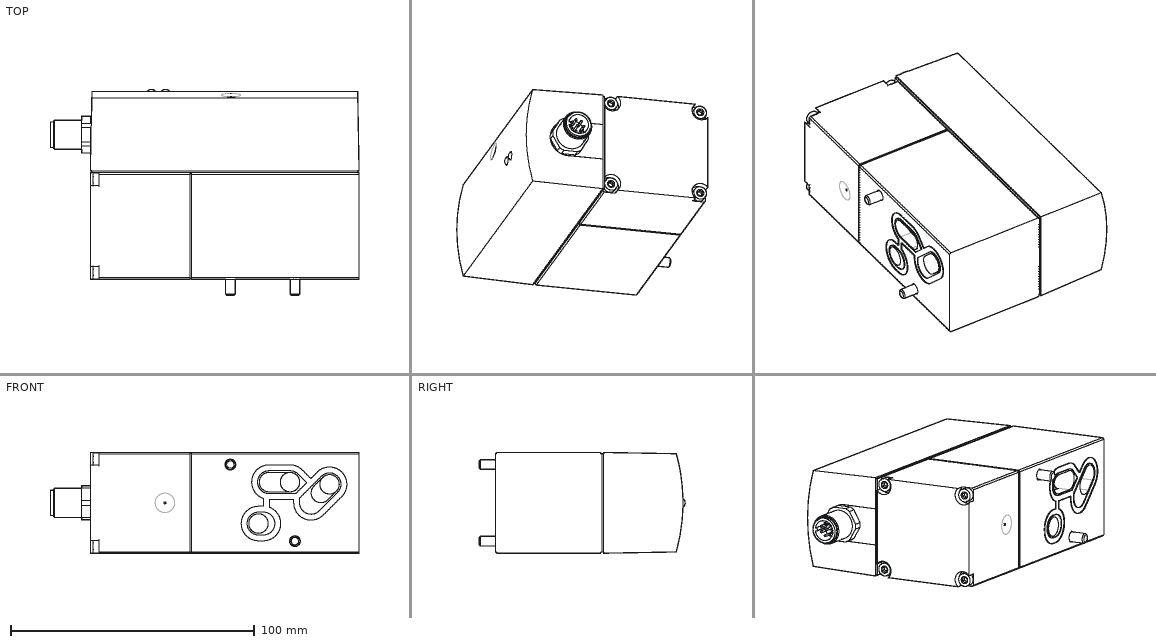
import cadquery as cq
import math


length = 110.4
width = 41.5
half_width = width / 2
base_height = 43.8
edge_chamfer = 0.6
split_x = 41.2
split_groove_width = 0.5
split_groove_depth = 0.4

spacer_height = 0.8
spacer_inset = 0.5
cover_bottom = base_height + spacer_height

crown_height = 77.2
crown_sagitta = 2.9
cover_draft_angle = 1.0
pip_diameter = 3.5
pip_height = 0.9
pip_positions = (25.0, 30.8)

dimple_diameter = 8.0
dimple_depth = 0.9
dimple_x = 30.6
dimple_hole_diameter = 0.8
dimple_hole_depth = 2.5
cover_dimple_x = 57.7
cover_dimple_z = 14.7

screw_inset = 2.9
screw_recess_diameter = 7.5
screw_recess_depth = 3.5
screw_head_diameter = 5.5
screw_head_top = 1.1
screw_socket_across = 2.0
screw_socket_depth = 1.9
screw_socket_rim_diameter = 3.0
screw_socket_rim_depth = 0.4

connector_y = 59.4
connector_length = 16.5
pad_radius = 7.6
pad_depth = 2.5
nut_length = 3.7
nut_across_flats = 14.1
nut_corner_diameter = 15.2
nut_turn = 30.0
barrel_diameter = 12.0
barrel_chamfer = 0.4
nose_diameter = 10.5
nose_length = 1.4
socket_diameter = 8.2
socket_depth = 7.6
contact_diameter = 0.8
contact_length = 5.7
contact_ring_radius = 2.7
ring_contact_count = 7
key_diameter = 1.4
key_radius = 3.8

port_diameter = 8.0
port_radius = port_diameter / 2
gasket_inner_radius = 4.7
gasket_width = 2.4
gasket_outer_radius = gasket_inner_radius + gasket_width
gasket_recess = 0.4
upper_slot_start = (73.3, 8.5)
upper_slot_end = (82.0, 8.5)
lower_slot_start = (69.0, -8.5)
lower_slot_end = (71.1, -8.5)
slant_start = (90.6, 0.0)
slant_end = (98.2, 7.6)
slant_pocket_start = (94.7, 4.0)
bridge_left = 71.2
upper_pocket_depth = 5.1
slant_pocket_depth = 10.2
port_depth = 25.4

pin_diameter = 4.0
pin_length = 6.6
pin_chamfer = 0.5
pin_clearance_diameter = 4.5
pin_clearance_depth = 0.6
pin_centres = ((57.5, 15.7), (84.0, -15.7))


def front_prism(points, depth):
    """Prism over an X-Z outline, sunk into the port face by depth."""
    return cq.Workplane("XZ").polyline(points).close().extrude(-depth)


def front_cylinder(centre, diameter, depth):
    """Cylinder sunk into the port face; a negative depth makes it stand out."""
    return cq.Workplane("XZ").center(*centre).circle(diameter / 2).extrude(-depth)


def front_slot(start, end, radius, depth):
    """Round-ended slot between two X-Z centres, sunk into the port face."""
    run_x = end[0] - start[0]
    run_z = end[1] - start[1]
    middle = ((start[0] + end[0]) / 2, (start[1] + end[1]) / 2)
    overall = math.hypot(run_x, run_z) + 2 * radius
    angle = math.degrees(math.atan2(run_z, run_x))
    return cq.Workplane("XZ").center(*middle).slot2D(overall, 2 * radius, angle).extrude(-depth)


def end_cylinder(y, z, diameter, start_x, end_x):
    """Cylinder along X from start_x to end_x."""
    plane = cq.Workplane("YZ", origin=(start_x, y, z))
    return plane.circle(diameter / 2).extrude(end_x - start_x)


def make_base():
    block = cq.Workplane("XY").box(length, base_height, width, centered=(False, False, True))
    block = block.edges("|X").chamfer(edge_chamfer)
    groove = cq.Workplane("XY").box(split_groove_width, 2 * base_height, 2 * width)
    core = cq.Workplane("XY").box(
        split_groove_width,
        base_height - 2 * split_groove_depth,
        width - 2 * split_groove_depth,
    )
    groove = groove.cut(core).translate((split_x, base_height / 2, 0))
    return block.cut(groove)


def make_spacer():
    spacer = cq.Workplane("XY").box(
        length - 2 * spacer_inset, spacer_height, width - 2 * spacer_inset
    )
    return spacer.translate((length / 2, base_height + spacer_height / 2, 0))


def cover_top_profile():
    """Full-length bar with an arched top that trims the drafted cover to its crown."""
    shoulder_height = crown_height - crown_sagitta
    return (
        cq.Workplane("YZ")
        .moveTo(cover_bottom, -half_width)
        .lineTo(shoulder_height, -half_width)
        .threePointArc((crown_height, 0), (shoulder_height, half_width))
        .lineTo(cover_bottom, half_width)
        .close()
        .extrude(length)
    )


def make_pip(x):
    """Spherical cap on the crown."""
    base_radius = pip_diameter / 2
    cap_radius = (base_radius**2 + pip_height**2) / (2 * pip_height)
    ball_centre = (x, crown_height + pip_height - cap_radius, 0)
    return cq.Workplane("XY").sphere(cap_radius).translate(ball_centre)


def make_cover():
    cover = (
        cq.Workplane("XY")
        .rect(length, width)
        .extrude(crown_height - cover_bottom, taper=cover_draft_angle)
        .rotate((0, 0, 0), (1, 0, 0), -90)
        .translate((length / 2, cover_bottom, 0))
        .intersect(cover_top_profile())
    )
    for x in pip_positions:
        cover = cover.union(make_pip(x))
    return cover


def make_dimple():
    """Cone with a small hole at its tip, pointing along +Y from the origin."""
    cone = cq.Solid.makeCone(
        dimple_diameter / 2, 0, dimple_depth, pnt=cq.Vector(0, 0, 0), dir=cq.Vector(0, 1, 0)
    )
    tip_hole = front_cylinder((0, 0), dimple_hole_diameter, dimple_hole_depth)
    return tip_hole.union(cq.Workplane(cone))


def make_cover_dimple():
    """The same cone, square to the arched top of the cover."""
    arch_radius = (half_width**2 + crown_sagitta**2) / (2 * crown_sagitta)
    tilt = math.asin(cover_dimple_z / arch_radius)
    surface_y = crown_height - arch_radius * (1 - math.cos(tilt))
    dimple = make_dimple().rotate((0, 0, 0), (1, 0, 0), 180 + math.degrees(tilt))
    return dimple.translate((cover_dimple_x, surface_y, cover_dimple_z))


def fit_corner_screws(body):
    """Socket screws sunk in the end face, in recesses that break out at the corners."""
    limit = cq.Workplane("XY").box(length, base_height, width, centered=(False, False, True))
    for y, y_side in ((screw_inset, -1), (base_height - screw_inset, 1)):
        for z_side in (-1, 1):
            z = z_side * (half_width - screw_inset)
            recess = end_cylinder(y, z, screw_recess_diameter, 0, screw_recess_depth)
            corner = cq.Workplane("XY").box(screw_recess_depth, screw_inset, screw_inset).translate(
                (screw_recess_depth / 2, y + y_side * screw_inset / 2, z + z_side * screw_inset / 2)
            )
            head = end_cylinder(y, z, screw_head_diameter, screw_head_top, screw_recess_depth)
            socket = (
                cq.Workplane("YZ", origin=(screw_head_top, y, z))
                .polygon(6, screw_socket_across, circumscribed=True)
                .extrude(screw_socket_depth)
            )
            rim = cq.Solid.makeCone(
                screw_socket_rim_diameter / 2,
                screw_socket_across / 2,
                screw_socket_rim_depth,
                pnt=cq.Vector(screw_head_top, y, z),
                dir=cq.Vector(1, 0, 0),
            )
            head = head.cut(socket).cut(cq.Workplane(rim))
            body = body.cut(recess.union(corner).intersect(limit)).union(head)
    return body


def make_connector():
    pad_drop = connector_y - cover_bottom
    pad = end_cylinder(connector_y, 0, 2 * pad_radius, 0, pad_depth).union(
        cq.Workplane("XY")
        .box(pad_depth, pad_drop, 2 * pad_radius, centered=(False, False, True))
        .translate((0, cover_bottom, 0))
    )

    nut = (
        cq.Workplane("YZ", origin=(-nut_length, connector_y, 0))
        .polygon(6, nut_across_flats, circumscribed=True)
        .extrude(nut_length)
        .rotate((0, connector_y, 0), (1, connector_y, 0), nut_turn)
        .intersect(end_cylinder(connector_y, 0, nut_corner_diameter, -nut_length, 0))
    )

    shoulder_x = nose_length - connector_length
    barrel = end_cylinder(connector_y, 0, barrel_diameter, shoulder_x, 0)
    barrel = barrel.faces("<X").chamfer(barrel_chamfer)
    nose = end_cylinder(connector_y, 0, nose_diameter, -connector_length, 0)
    floor_x = socket_depth - connector_length
    mouth = end_cylinder(connector_y, 0, socket_diameter, -connector_length, floor_x)
    connector = pad.union(nut).union(barrel).union(nose).cut(mouth)

    key_y = connector_y + key_radius
    connector = connector.union(end_cylinder(key_y, 0, key_diameter, -connector_length, floor_x))
    contact_spots = [(connector_y, 0)]
    for index in range(ring_contact_count):
        angle = 2 * math.pi * index / ring_contact_count
        y = connector_y - contact_ring_radius * math.cos(angle)
        contact_spots.append((y, contact_ring_radius * math.sin(angle)))
    for y, z in contact_spots:
        contact = end_cylinder(y, z, contact_diameter, floor_x - contact_length, floor_x)
        connector = connector.union(contact)
    return connector


def make_gasket_groove():
    """Shallow groove of constant width around the three port openings."""
    slant_offset = slant_start[0] - slant_start[1]
    diagonal = math.sqrt(2)
    end_sum = sum(upper_slot_end)

    def upper_outline(radius, slant_side):
        """Upper slot whose end is cut off by 45-degree lines, the lower one along the slanted slot."""
        x, z = upper_slot_end
        tip_x = (end_sum + radius * diagonal + slant_side) / 2
        tip = (tip_x, tip_x - slant_side)
        foot = (slant_side + z - radius, z - radius)
        shoulder = (x + radius / diagonal, z + radius / diagonal)
        point = front_prism([(x, z), shoulder, tip, foot, (x, z - radius)], gasket_recess)
        return front_slot(upper_slot_start, upper_slot_end, radius, gasket_recess).union(point)

    def slant_outline(radius):
        """Slanted slot whose lower left flank runs straight up into a corner."""
        x, z = slant_start
        left = x - radius
        corner = (left, left - slant_offset + radius * diagonal)
        tangent = (x - radius / diagonal, z + radius / diagonal)
        point = front_prism([(x, z), (left, z), corner, tangent], gasket_recess)
        return front_slot(slant_start, slant_end, radius, gasket_recess).union(point)

    inner_slant_side = slant_offset - gasket_inner_radius * diagonal
    web_slant_side = inner_slant_side - gasket_width * diagonal
    bridge_right = bridge_left + gasket_width
    bridge_top = upper_slot_start[1]
    bridge_bottom = lower_slot_start[1]
    bridge = front_prism(
        [
            (bridge_left, bridge_top),
            (bridge_right, bridge_top),
            (bridge_right, bridge_bottom),
            (bridge_left, bridge_bottom),
        ],
        gasket_recess,
    )
    outer = (
        upper_outline(gasket_outer_radius, inner_slant_side)
        .union(slant_outline(gasket_outer_radius))
        .union(front_slot(lower_slot_start, lower_slot_end, gasket_outer_radius, gasket_recess))
        .union(bridge)
    )
    inner = (
        upper_outline(gasket_inner_radius, web_slant_side)
        .union(slant_outline(gasket_inner_radius))
        .union(front_slot(lower_slot_start, lower_slot_end, gasket_inner_radius, gasket_recess))
    )
    return outer.cut(inner)


def cut_pocket(body, start, port_centre, depth):
    """Pocket as wide as a port, rounded at its start and running into the port bore."""
    run_x = port_centre[0] - start[0]
    run_z = port_centre[1] - start[1]
    run = math.hypot(run_x, run_z)
    side_x = -port_radius * run_z / run
    side_z = port_radius * run_x / run
    channel = front_prism(
        [
            (start[0] + side_x, start[1] + side_z),
            (start[0] - side_x, start[1] - side_z),
            (port_centre[0] - side_x, port_centre[1] - side_z),
            (port_centre[0] + side_x, port_centre[1] + side_z),
        ],
        depth,
    )
    return body.cut(channel.union(front_cylinder(start, port_diameter, depth)))


def cut_ports(body):
    body = body.cut(make_gasket_groove())
    body = cut_pocket(body, upper_slot_start, upper_slot_end, upper_pocket_depth)
    body = cut_pocket(body, slant_pocket_start, slant_end, slant_pocket_depth)
    for centre in (upper_slot_end, slant_end, lower_slot_start):
        body = body.cut(front_cylinder(centre, port_diameter, port_depth))
    return body


def fit_mounting_pins(body):
    for centre in pin_centres:
        clearance = front_cylinder(centre, pin_clearance_diameter, pin_clearance_depth)
        pin = front_cylinder(centre, pin_diameter, -pin_length).faces("<Y").chamfer(pin_chamfer)
        root = front_cylinder(centre, pin_diameter, pin_clearance_depth)
        body = body.cut(clearance).union(pin).union(root)
    return body


result = make_base().union(make_spacer()).union(make_cover())
result = result.cut(make_dimple().translate((dimple_x, 0, 0)))
result = result.cut(make_cover_dimple())
result = fit_corner_screws(result)
result = result.union(make_connector())
result = cut_ports(result)
result = fit_mounting_pins(result)